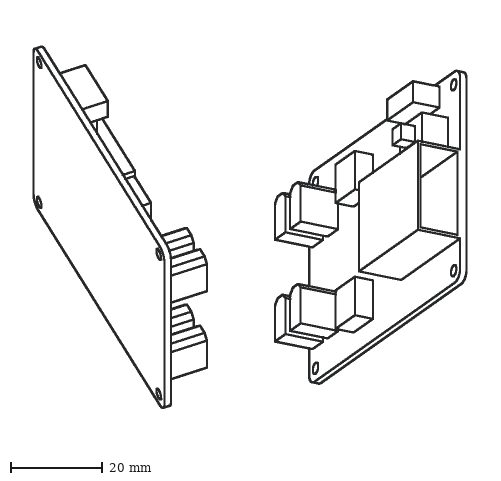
import cadquery as cq

board_length = 70.0
board_height = 50.0
board_thickness = 1.6
corner_radius = 2.5
hole_diameter = 2.5
hole_inset = 3.0

socket_length = 27.3
socket_height = 21.1
socket_rise = 10.5
socket_bottom = 9.6
socket_wall = 0.7

button_width = 10.3
button_height = 8.0
button_rise = 6.5
button_left = 5.5
button_bottom = 32.1
plunger_width = 4.0
plunger_height = 3.8
plunger_rise = 10.0

connector_width = 12.05
connector_height = 5.0
connector_rise = 6.6
connector_left = 9.5
connector_bottom = 43.95

low_block_width = 8.95
low_block_height = 9.1
low_block_rise = 4.5
low_block_left = 40.4
low_block_bottoms = (5.1, 34.85)

terminal_width = 4.9
terminal_height = 9.8
terminal_rise = 9.3
terminal_bevel = 1.25
terminal_lefts = (56.5, 63.55)
terminal_bottoms = (8.05, 32.1)


def block(left, bottom, width, height, rise):
    """Block on the board; left and bottom are measured from the board's lower -X corner."""
    return cq.Workplane("XY").box(width, board_thickness + rise, height, centered=False).translate(
        (left, 0, bottom)
    )


def make_board():
    board = block(0, 0, board_length, board_height, 0).edges("|Y").fillet(corner_radius)
    return (
        board.faces("<Y")
        .workplane(centerOption="CenterOfBoundBox")
        .rect(board_length - 2 * hole_inset, board_height - 2 * hole_inset, forConstruction=True)
        .vertices()
        .hole(hole_diameter)
    )


def make_socket_shell():
    """Socket body, rooted on the board face so that it leaves the board corners alone."""
    body = cq.Workplane("XY").box(socket_length, socket_rise, socket_height, centered=False)
    cavity = (
        cq.Workplane("XY")
        .box(
            socket_length - socket_wall,
            socket_rise - 2 * socket_wall,
            socket_height - 2 * socket_wall,
            centered=False,
        )
        .translate((0, socket_wall, socket_wall))
    )
    return body.cut(cavity).translate((0, board_thickness, socket_bottom))


def make_button():
    body = block(button_left, button_bottom, button_width, button_height, button_rise)
    plunger_left = button_left + (button_width - plunger_width) / 2
    plunger_bottom = button_bottom + (button_height - plunger_height) / 2
    plunger = block(plunger_left, plunger_bottom, plunger_width, plunger_height, plunger_rise)
    return body.union(plunger)


def make_terminal(left, bottom):
    terminal = block(left, bottom, terminal_width, terminal_height, terminal_rise)
    return terminal.faces(">Z").edges("|Y").chamfer(terminal_bevel)


result = make_board().union(make_socket_shell()).union(make_button())
result = result.union(
    block(connector_left, connector_bottom, connector_width, connector_height, connector_rise)
)
for low_block_bottom in low_block_bottoms:
    result = result.union(
        block(low_block_left, low_block_bottom, low_block_width, low_block_height, low_block_rise)
    )
for terminal_left in terminal_lefts:
    for terminal_bottom in terminal_bottoms:
        result = result.union(make_terminal(terminal_left, terminal_bottom))

result = result.translate((-board_length / 2, 0, -board_height / 2))